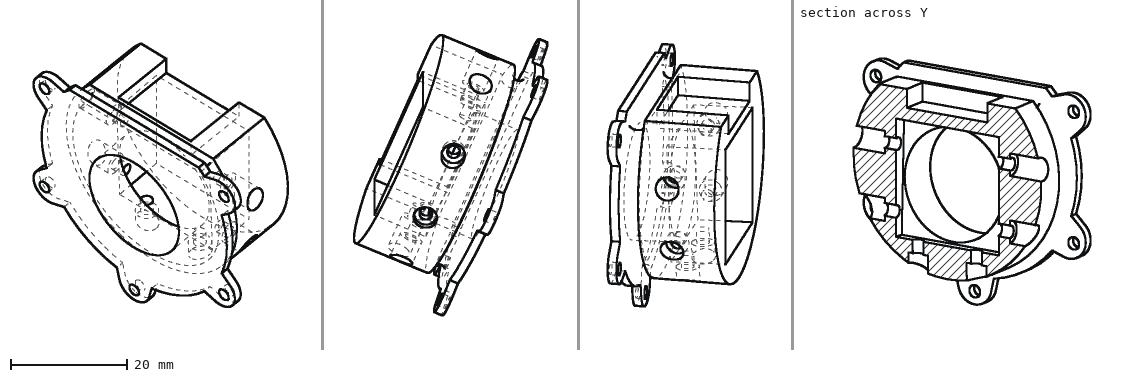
import cadquery as cq
import math

flange_radius = 21.0
flange_top = 15.07
flange_thickness = 1.55
overall_width = 45.7
tab_angles = (30, 150, 210, 270, 330)
tab_centre_radius = 22.4
tab_tip_radius = overall_width / 2 - tab_centre_radius * math.cos(math.radians(tab_angles[0]))
tab_half_angle = 10.8
screw_hole_diameter = 2.2
screw_circle_radius = 23.5

total_depth = 18.0
neck_length = 3.0
neck_radius = 17.15
neck_top = 11.2
neck_fillet = 1.35
body_radius = 19.35
body_top = 13.4
body_front = flange_thickness + neck_length

tilt_angle = 2.0
tilt_pivot_height = -3.2
bore_diameter = 20.3
bore_length = 8.0
cavity_width = 21.0
side_hole_spacing = 12.0
side_hole_depth = 9.85
counterbore_diameter = 4.0
cavity_wall = 2.4

notch_width = 16.45
notch_length = 12.6
notch_floor = 10.0

overshoot = 4.55


def polar(radius, angle):
    """Point (x, z) at an angle in degrees from +X."""
    return (radius * math.cos(math.radians(angle)), radius * math.sin(math.radians(angle)))


def front_plane(y):
    """Workplane at depth y with X right and Z up; positive extrusion goes toward -Y."""
    return cq.Workplane("XZ", origin=(0, y, 0))


def flat_topped_disc(radius, top, front, length):
    """Disc along Y starting at depth front, cut off flat at height top."""
    half_flat = math.sqrt(radius**2 - top**2)
    return (
        front_plane(front)
        .moveTo(-half_flat, top)
        .threePointArc((0, -radius), (half_flat, top))
        .close()
        .extrude(-length)
    )


def tangent_point(start, centre, radius, side):
    """Touch point of the line from start to a circle, on the given side (+1 or -1)."""
    dx = start[0] - centre[0]
    dz = start[1] - centre[1]
    angle = math.atan2(dz, dx) + side * math.acos(radius / math.hypot(dx, dz))
    return (centre[0] + radius * math.cos(angle), centre[1] + radius * math.sin(angle))


def mounting_tab(angle):
    """Tapered tab whose sides run from the disc rim tangent to the rounded tip."""
    centre = polar(tab_centre_radius, angle)
    first_root = polar(flange_radius, angle - tab_half_angle)
    last_root = polar(flange_radius, angle + tab_half_angle)
    return (
        front_plane(0)
        .moveTo(0, 0)
        .lineTo(*first_root)
        .lineTo(*tangent_point(first_root, centre, tab_tip_radius, 1))
        .threePointArc(
            polar(tab_centre_radius + tab_tip_radius, angle),
            tangent_point(last_root, centre, tab_tip_radius, -1),
        )
        .lineTo(*last_root)
        .close()
        .extrude(-flange_thickness)
    )


def counterbored_hole(direction, offset):
    """Radial screw hole through a cavity wall; direction is the angle from +X about Y."""
    seat = cavity_width / 2 + cavity_wall
    reach = body_radius + overshoot
    hole = cq.Workplane("YZ").circle(screw_hole_diameter / 2).extrude(reach)
    counterbore = (
        cq.Workplane("YZ", origin=(seat, 0, 0))
        .circle(counterbore_diameter / 2)
        .extrude(reach - seat)
    )
    return (
        hole.union(counterbore)
        .translate((0, side_hole_depth, offset))
        .rotate((0, 0, 0), (0, 1, 0), direction)
    )


def tilted_cutter():
    """Bore, square cavity and screw holes, tilted together about the X direction."""
    bore = (
        front_plane(-overshoot)
        .circle(bore_diameter / 2)
        .extrude(-(bore_length + overshoot))
    )
    cavity = (
        front_plane(bore_length)
        .rect(cavity_width, cavity_width)
        .extrude(-(total_depth - bore_length + overshoot))
    )
    cutter = bore.union(cavity)
    for direction in (0, 90, 180):
        for offset in (-side_hole_spacing / 2, side_hole_spacing / 2):
            cutter = cutter.union(counterbored_hole(direction, offset))
    return cutter.rotate((0, 0, 0), (1, 0, 0), tilt_angle).translate((0, 0, tilt_pivot_height))


flange = flat_topped_disc(flange_radius, flange_top, 0, flange_thickness)
neck = flat_topped_disc(neck_radius, neck_top, flange_thickness, neck_length)
body = flat_topped_disc(body_radius, body_top, body_front, total_depth - body_front)
part = flange.union(neck).union(body)
select_margin = 0.05
select_reach = neck_radius + select_margin
for end in (flange_thickness, body_front):
    neck_edges = cq.selectors.BoxSelector(
        (-select_reach, end - select_margin, -select_reach),
        (select_reach, end + select_margin, neck_top + select_margin),
        boundingbox=True,
    )
    part = part.edges(neck_edges).fillet(neck_fillet)

for angle in tab_angles:
    part = part.union(mounting_tab(angle))
screw_points = [polar(screw_circle_radius, angle) for angle in tab_angles]
screw_holes = (
    front_plane(0)
    .pushPoints(screw_points)
    .circle(screw_hole_diameter / 2)
    .extrude(-flange_thickness)
)
part = part.cut(screw_holes)

notch_height = body_top - notch_floor
notch = cq.Workplane("XY").box(notch_width, notch_length, notch_height, centered=(True, False, False))
part = part.cut(notch.translate((0, total_depth - notch_length, notch_floor)))

result = part.cut(tilted_cutter())